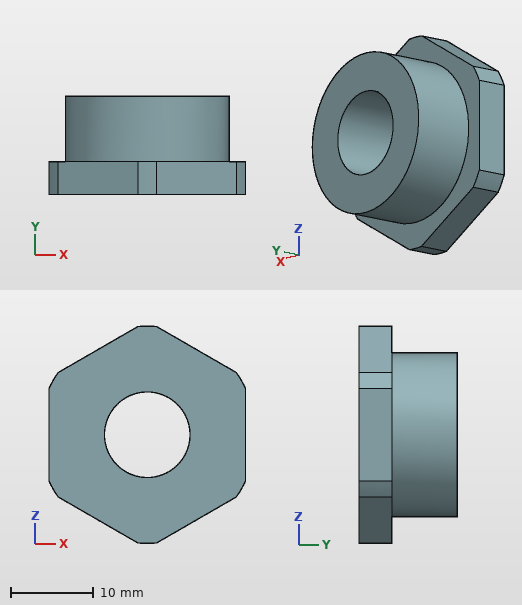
import cadquery as cq
import math

across_flats = 24.0
corner_diameter = 26.5
flange_thickness = 4.0

collar_diameter = 20.0
collar_length = 8.0
bore_diameter = 10.4

total_length = flange_thickness + collar_length
across_corners = across_flats / math.cos(math.radians(30))


def cylinder_along_y(diameter, start, length):
    """Solid cylinder on the Y axis, running from start toward +Y."""
    plane = cq.Workplane("XZ", origin=(0, start, 0))
    return plane.circle(diameter / 2).extrude(-length)


def hex_flange():
    """Hexagon with corners up and down, its corners turned to a round."""
    hexagon = (
        cq.Workplane("XZ")
        .transformed(rotate=(0, 0, 90))
        .polygon(6, across_corners)
        .extrude(-flange_thickness)
    )
    return hexagon.intersect(cylinder_along_y(corner_diameter, 0, flange_thickness))


collar = cylinder_along_y(collar_diameter, flange_thickness, collar_length)
bore = cylinder_along_y(bore_diameter, 0, total_length)

result = hex_flange().union(collar).cut(bore)